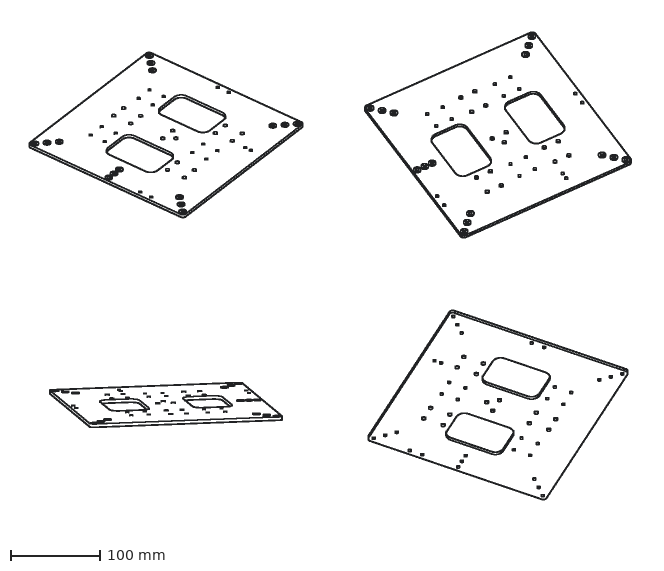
import cadquery as cq

SIDE = 220.0
THICKNESS = 4.0
CORNER_RADIUS = 4.0

WINDOW_LENGTH = 70.0
WINDOW_WIDTH = 45.0
WINDOW_RADIUS = 10.0
WINDOW_OFFSET = 47.5

SCREW_HOLE = 3.3
COUNTERBORE = 8.1
COUNTERBORE_DEPTH = 0.5
SCREW_EDGE_DISTANCE = 5.5
SCREW_PITCH = 9.7
SCREWS_PER_ROW = 3

SMALL_HOLE = 3.3
LARGE_HOLE = 4.5

SMALL_GROUP_PITCH = 20.0
LARGE_GROUP_PITCH_X = 24.0
LARGE_GROUP_PITCH_Y = 18.0
GROUP_X = 55.0
GROUP_Y = 43.8

CENTRE_PAIR_X = 2.5
CENTRE_SINGLE_X = 14.0

EDGE_PAIR_Y = SIDE / 2 - SCREW_EDGE_DISTANCE
EDGE_PAIR_PITCH = 15.5
BOTTOM_PAIR_X = 52.1
SIDE_PAIR_X = 90.2
SIDE_PAIR_Y = 33.5
SIDE_PAIR_PITCH = 8.1


def hole_group(x, y, pitch_x, pitch_y):
    """Corners of a rectangle centred on (x, y)."""
    return [
        (x + i * pitch_x / 2, y + j * pitch_y / 2)
        for i in (-1, 1)
        for j in (-1, 1)
    ]


def hole_pair(x, y, pitch):
    """Two points spaced along X about (x, y)."""
    return [(x - pitch / 2, y), (x + pitch / 2, y)]


def make_plate():
    return (
        cq.Workplane("XY")
        .box(SIDE, SIDE, THICKNESS)
        .edges("|Z")
        .fillet(CORNER_RADIUS)
    )


def make_windows():
    return (
        cq.Workplane("XY")
        .pushPoints([(0, WINDOW_OFFSET), (0, -WINDOW_OFFSET)])
        .box(WINDOW_LENGTH, WINDOW_WIDTH, THICKNESS)
        .edges("|Z")
        .fillet(WINDOW_RADIUS)
    )


def screw_points():
    points = []
    for i in range(SCREWS_PER_ROW):
        reach = SIDE / 2 - SCREW_EDGE_DISTANCE - i * SCREW_PITCH
        points += hole_group(0, 0, 2 * reach, 2 * reach)
        points.append((0, -reach))
    return points


def small_hole_points():
    points = hole_pair(0, EDGE_PAIR_Y, EDGE_PAIR_PITCH)
    points += hole_pair(BOTTOM_PAIR_X, -EDGE_PAIR_Y, EDGE_PAIR_PITCH)
    points += hole_pair(SIDE_PAIR_X, SIDE_PAIR_Y, SIDE_PAIR_PITCH)
    for x, y in [(-GROUP_X, GROUP_Y), (-GROUP_X, -GROUP_Y), (GROUP_X, 0)]:
        points += hole_group(x, y, SMALL_GROUP_PITCH, SMALL_GROUP_PITCH)
    return points


def large_hole_points():
    points = [
        (CENTRE_SINGLE_X, 0),
        (CENTRE_PAIR_X, LARGE_GROUP_PITCH_Y / 2),
        (CENTRE_PAIR_X, -LARGE_GROUP_PITCH_Y / 2),
    ]
    for x, y in [(GROUP_X, GROUP_Y), (GROUP_X, -GROUP_Y), (-GROUP_X, 0)]:
        points += hole_group(x, y, LARGE_GROUP_PITCH_X, LARGE_GROUP_PITCH_Y)
    return points


plate = make_plate().cut(make_windows())
plate = (
    plate.faces(">Z").workplane(origin=(0, 0, 0))
    .pushPoints(screw_points())
    .cboreHole(SCREW_HOLE, COUNTERBORE, COUNTERBORE_DEPTH)
)
plate = (
    plate.faces(">Z").workplane(origin=(0, 0, 0))
    .pushPoints(small_hole_points())
    .hole(SMALL_HOLE)
)
result = (
    plate.faces(">Z").workplane(origin=(0, 0, 0))
    .pushPoints(large_hole_points())
    .hole(LARGE_HOLE)
)